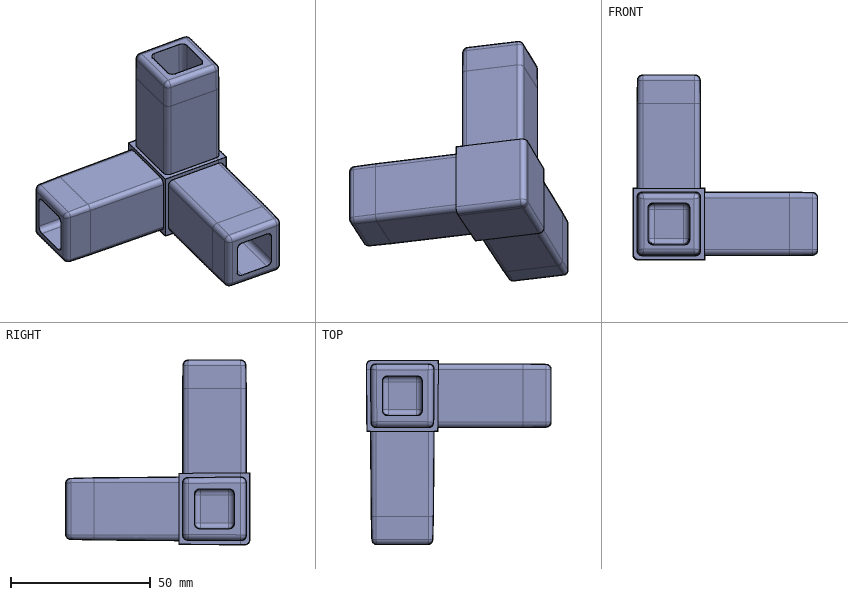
import cadquery as cq
import math


HUB_SIZE = 25.4
PARTING_INSET = 3.3
HUB_ROUND = 2.0

ARM_LENGTH = 40.6
ARM_WIDTH = 22.85
ARM_ROUND = 2.0
TIP_LENGTH = 10.15

POCKET_WIDTH = 14.3
FRONT_POCKET_WIDTH = 15.05
POCKET_ROUND = 2.0

MOULD_DRAFT = 0.5
TIP_DRAFT = 1.0
POCKET_DRAFT = 0.25
FRONT_POCKET_DRAFT = 0.5

HUB_HALF = HUB_SIZE / 2
DRAFT_SLOPE = math.tan(math.radians(MOULD_DRAFT))


def make_hub():
    """Hub with a straight back band and drafted sides, rounded at its outer corner."""
    draft_length = HUB_SIZE - PARTING_INSET
    back_width = HUB_SIZE + 2 * draft_length * DRAFT_SLOPE
    band = (
        cq.Workplane("XZ", origin=(0, HUB_HALF - PARTING_INSET, 0))
        .rect(back_width, back_width)
        .extrude(-PARTING_INSET)
        .edges("(|Y and <X and <Z) or (>Y and (<X or <Z))")
        .fillet(HUB_ROUND)
    )
    front = (
        band.faces("<Y")
        .wires()
        .toPending()
        .workplane()
        .extrude(draft_length, combine=False, taper=MOULD_DRAFT)
    )
    return band.union(front)


def make_arm(front_width, side_draft):
    """Solid arm standing on the hub along +Z.

    front_width is the section width on the -Y side; the +Y side is ARM_WIDTH wide.
    side_draft is the taper in degrees of the shank along its length.
    """
    back_half = ARM_WIDTH / 2
    front_half = front_width / 2
    corners = [
        (-back_half, back_half),
        (back_half, back_half),
        (front_half, -back_half),
        (-front_half, -back_half),
    ]
    section = cq.Sketch().polygon(corners + corners[:1]).vertices().fillet(ARM_ROUND)
    shank = (
        cq.Workplane("XY", origin=(0, 0, HUB_HALF))
        .placeSketch(section)
        .extrude(ARM_LENGTH - TIP_LENGTH, taper=side_draft)
    )
    tip = (
        shank.faces(">Z")
        .wires()
        .toPending()
        .extrude(TIP_LENGTH, combine=False, taper=side_draft + TIP_DRAFT)
    )
    return shank.union(tip).faces(">Z").edges().fillet(ARM_ROUND)


def make_pocket(width, draft):
    """Tapered blind core for an arm along +Z, reaching down to the hub face."""
    core = (
        cq.Workplane("XY", origin=(0, 0, HUB_HALF + ARM_LENGTH))
        .rect(width, width)
        .extrude(-ARM_LENGTH, taper=draft)
    )
    return core.edges("(not #Z) or <Z").fillet(POCKET_ROUND)


def point_right(shape):
    return shape.rotate((0, 0, 0), (0, 1, 0), 90)


def point_forward(shape):
    return shape.rotate((0, 0, 0), (1, 0, 0), 90)


side_arm = make_arm(ARM_WIDTH - 2 * ARM_WIDTH * DRAFT_SLOPE, 0)
front_arm = make_arm(ARM_WIDTH, MOULD_DRAFT)
side_pocket = make_pocket(POCKET_WIDTH, POCKET_DRAFT)
front_pocket = make_pocket(FRONT_POCKET_WIDTH, FRONT_POCKET_DRAFT)

result = (
    make_hub()
    .union(side_arm)
    .union(point_right(side_arm))
    .union(point_forward(front_arm))
    .cut(side_pocket)
    .cut(point_right(side_pocket))
    .cut(point_forward(front_pocket))
)